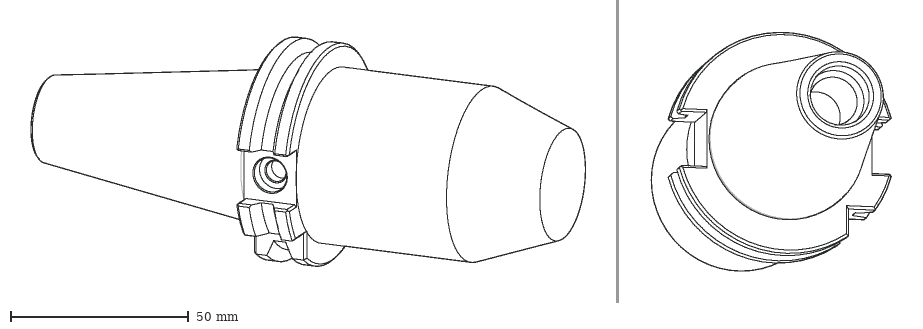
import cadquery as cq
import math

length = 158.2
neck_start = 69.2
neck_end = 70.3
flange_start = 71.2
flange_width = 16.1
flange_end = flange_start + flange_width
nose_start = 133.5

taper_small_radius = 12.5
taper_large_radius = 22.3
neck_radius = 22.2
flange_radius = 31.6
body_radius = 50.0 / 2
nose_radius = 16.0
taper_end_chamfer = 0.8
flange_chamfer = 0.8

groove_center = flange_start + flange_width / 2
groove_radius = 28.0
groove_floor_width = 3.6
groove_side_angle = 30.0

slot_width = 15.5
slot_chamfer = 0.6
front_slot_floor = 24.8
back_slot_floor = 22.8
notch_offset = 18.2
notch_chamfer = 0.8

bore_mouth_radius = 9.5
counterbore_radius = 17.0 / 2
counterbore_depth = 7.9
bore_radius = 13.8 / 2
bore_depth = 31.6
drill_point_angle = 118.0

side_counterbore_radius = 10.0 / 2
side_counterbore_depth = 4.0
side_hole_radius = 6.0 / 2
side_hole_depth = 7.9
side_hole_chamfer = 0.3


def revolve_about_x(points):
    """Revolve a closed (x, radius) outline about the X axis."""
    return cq.Workplane("XY").polyline(points).close().revolve(360, (0, 0, 0), (1, 0, 0))


def drill_point_length(radius):
    return radius / math.tan(math.radians(drill_point_angle / 2))


def turned_shank():
    """Taper, neck, core of the flange, cylindrical body and conical nose."""
    return revolve_about_x([
        (0, 0),
        (0, taper_small_radius - taper_end_chamfer),
        (taper_end_chamfer, taper_small_radius),
        (neck_start, taper_large_radius),
        (neck_end, neck_radius),
        (flange_start, neck_radius),
        (flange_end, neck_radius),
        (flange_end, body_radius),
        (nose_start, body_radius),
        (length, nose_radius),
        (length, 0),
    ])


def flange_disc():
    """Flange with chamfered rims and the V groove."""
    floor_half = groove_floor_width / 2
    slope = math.tan(math.radians(groove_side_angle))
    mouth_half = floor_half + (flange_radius - groove_radius) * slope
    rim_radius = flange_radius - flange_chamfer
    return revolve_about_x([
        (flange_start, 0),
        (flange_start, rim_radius),
        (flange_start + flange_chamfer, flange_radius),
        (groove_center - mouth_half, flange_radius),
        (groove_center - floor_half, groove_radius),
        (groove_center + floor_half, groove_radius),
        (groove_center + mouth_half, flange_radius),
        (flange_end - flange_chamfer, flange_radius),
        (flange_end, rim_radius),
        (flange_end, 0),
    ])


def drive_slot(side, floor):
    """Slot cutter through the flange; side is -1 for -Y and +1 for +Y."""
    depth = flange_radius - floor
    middle_y = side * (floor + depth / 2)
    cutter = cq.Workplane("XY").box(flange_width, depth, slot_width)
    cutter = cutter.translate((groove_center, middle_y, 0))

    half = slot_width / 2
    for face_x, inward in ((flange_start, 1), (flange_end, -1)):
        for wall in (-1, 1):
            edge_break = (
                cq.Workplane("XZ")
                .polyline([
                    (face_x, 0),
                    (face_x, wall * (half + slot_chamfer)),
                    (face_x + inward * slot_chamfer, wall * half),
                    (face_x + inward * slot_chamfer, 0),
                ])
                .close()
                .extrude(depth / 2, both=True)
                .translate((0, middle_y, 0))
            )
            cutter = cutter.union(edge_break)

    rim_y = math.sqrt(flange_radius**2 - (half + slot_chamfer) ** 2)
    rim_break = (
        cq.Workplane("YZ", origin=(flange_start, 0, 0))
        .polyline([
            (side * (rim_y - slot_chamfer), -half),
            (side * rim_y, -half - slot_chamfer),
            (side * flange_radius, -half - slot_chamfer),
            (side * flange_radius, half + slot_chamfer),
            (side * rim_y, half + slot_chamfer),
            (side * (rim_y - slot_chamfer), half),
        ])
        .close()
        .extrude(flange_width)
    )
    return cutter.union(rim_break)


def orientation_notch():
    """Square corner cut in the -Y, -Z quarter of the flange, with chamfered edges on both faces."""
    size = flange_radius - notch_offset
    middle = -(notch_offset + size / 2)
    notch = cq.Workplane("XY").box(flange_width, size, size)
    notch = notch.translate((groove_center, middle, middle))

    flared_size = size + 2 * notch_chamfer
    for face_x, inward in ((flange_start, 1), (flange_end, -1)):
        edge_break = (
            cq.Workplane("YZ", origin=(face_x, middle, middle))
            .rect(flared_size, flared_size)
            .extrude(inward * notch_chamfer, taper=45)
        )
        notch = notch.union(edge_break)
    return notch


def end_bore():
    """Chamfered, counterbored blind hole along the axis from the taper end."""
    mouth_chamfer = bore_mouth_radius - counterbore_radius
    step_chamfer = counterbore_radius - bore_radius
    return revolve_about_x([
        (0, 0),
        (0, bore_mouth_radius),
        (mouth_chamfer, counterbore_radius),
        (counterbore_depth, counterbore_radius),
        (counterbore_depth + step_chamfer, bore_radius),
        (bore_depth, bore_radius),
        (bore_depth + drill_point_length(bore_radius), 0),
    ])


def side_hole():
    """Stepped blind hole entering the front slot floor along +Y."""
    step_depth = side_counterbore_depth
    outline = [
        (0, 0),
        (0, side_counterbore_radius + side_hole_chamfer),
        (side_hole_chamfer, side_counterbore_radius),
        (step_depth, side_counterbore_radius),
        (step_depth, side_hole_radius + side_hole_chamfer),
        (step_depth + side_hole_chamfer, side_hole_radius),
        (side_hole_depth, side_hole_radius),
        (side_hole_depth + drill_point_length(side_hole_radius), 0),
    ]
    hole = revolve_about_x(outline).rotate((0, 0, 0), (0, 0, 1), 90)
    return hole.translate((groove_center, -front_slot_floor, 0))


flange = (
    flange_disc()
    .cut(drive_slot(-1, front_slot_floor))
    .cut(drive_slot(1, back_slot_floor))
    .cut(orientation_notch())
)
result = turned_shank().union(flange).cut(end_bore()).cut(side_hole())